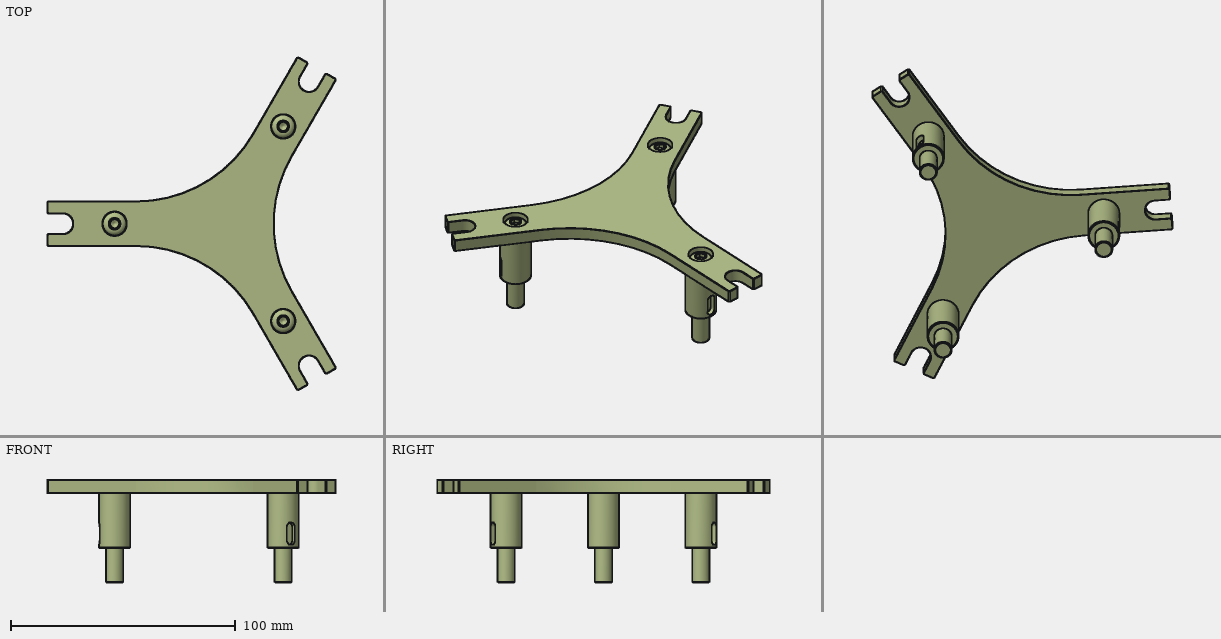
import cadquery as cq
import math

ARM_COUNT = 3
ARM_ANGLES = [180 + index * 360 / ARM_COUNT for index in range(ARM_COUNT)]
ARM_REACH = 80.0
ARM_HALF_WIDTH = 10.0
PLATE_THICKNESS = 6.0
TIP_CHAMFER = 0.5
RIM_CHAMFER = 0.2
WEB_RADIUS = 60.0

FORK_WIDTH = 9.0
FORK_STRAIGHT = 7.0

BOLT_CIRCLE_RADIUS = 50.0
SCREW_DIAMETER = 6.0
COUNTERBORE_DIAMETER = 11.0
COUNTERBORE_DEPTH = 4.0

HEAD_DIAMETER = 10.5
HEAD_HEIGHT = 3.0
HEAD_RIM_HEIGHT = 0.7
SOCKET_ACROSS_FLATS = 4.0
SOCKET_ACROSS_CORNERS = SOCKET_ACROSS_FLATS / math.cos(math.pi / 6)
SOCKET_DEPTH = 2.0
SOCKET_MOUTH_DIAMETER = 5.3
SOCKET_MOUTH_DEPTH = 0.8
SOCKET_CONE_DEPTH = 1.2
SCREW_LENGTH = 16.0

SLEEVE_DIAMETER = 14.0
SLEEVE_LENGTH = 24.5
SLEEVE_CHAMFER = 0.5
PIN_DIAMETER = 7.8
PIN_LENGTH = 15.3
PIN_CHAMFER = 0.5

SIDE_SLOT_WIDTH = 4.0
SIDE_SLOT_LENGTH = 10.0
SIDE_SLOT_DEPTH = 2.5
SIDE_SLOT_BOTTOM_GAP = 1.5

COUNTERBORE_FLOOR_Z = PLATE_THICKNESS - COUNTERBORE_DEPTH
SCREW_TIP_Z = COUNTERBORE_FLOOR_Z - SCREW_LENGTH


def on_arms(shape):
    """Copies of a shape modelled about the Z axis, outward side +X, one at each bolt position."""
    placed = shape.translate((BOLT_CIRCLE_RADIUS, 0, 0))
    return [placed.rotate((0, 0, 0), (0, 0, 1), angle) for angle in ARM_ANGLES]


def make_plate():
    half_gap = math.radians(180 / ARM_COUNT)
    web_center = (WEB_RADIUS + ARM_HALF_WIDTH) / math.sin(half_gap)
    tangent_reach = web_center * math.cos(half_gap)
    web_middle = web_center - WEB_RADIUS

    def turned(along, across, angle):
        turn = math.radians(angle)
        return (
            along * math.cos(turn) - across * math.sin(turn),
            along * math.sin(turn) + across * math.cos(turn),
        )

    chamfer_start = ARM_REACH - TIP_CHAMFER
    tip_half_width = ARM_HALF_WIDTH - TIP_CHAMFER
    outline = cq.Workplane("XY").moveTo(*turned(tangent_reach, -ARM_HALF_WIDTH, ARM_ANGLES[0]))
    for angle in ARM_ANGLES:
        next_angle = angle + 360 / ARM_COUNT
        outline = (
            outline.lineTo(*turned(chamfer_start, -ARM_HALF_WIDTH, angle))
            .lineTo(*turned(ARM_REACH, -tip_half_width, angle))
            .lineTo(*turned(ARM_REACH, tip_half_width, angle))
            .lineTo(*turned(chamfer_start, ARM_HALF_WIDTH, angle))
            .lineTo(*turned(tangent_reach, ARM_HALF_WIDTH, angle))
            .threePointArc(
                turned(web_middle, 0, (angle + next_angle) / 2),
                turned(tangent_reach, -ARM_HALF_WIDTH, next_angle),
            )
        )
    plate = outline.close().extrude(PLATE_THICKNESS)

    fork_end = ARM_REACH - FORK_STRAIGHT - BOLT_CIRCLE_RADIUS
    fork = (
        cq.Workplane("XY")
        .moveTo(fork_end + ARM_REACH, FORK_WIDTH / 2)
        .lineTo(fork_end, FORK_WIDTH / 2)
        .threePointArc((fork_end - FORK_WIDTH / 2, 0), (fork_end, -FORK_WIDTH / 2))
        .lineTo(fork_end + ARM_REACH, -FORK_WIDTH / 2)
        .close()
        .extrude(PLATE_THICKNESS)
    )
    bolt_hole = cq.Workplane("XY").circle(SCREW_DIAMETER / 2).extrude(PLATE_THICKNESS)
    counterbore = (
        cq.Workplane("XY", origin=(0, 0, COUNTERBORE_FLOOR_Z))
        .circle(COUNTERBORE_DIAMETER / 2)
        .extrude(COUNTERBORE_DEPTH)
    )
    tip_local_x = ARM_REACH - BOLT_CIRCLE_RADIUS
    mouth_corners = (
        cq.Workplane("XY")
        .moveTo(tip_local_x, FORK_WIDTH / 2 + TIP_CHAMFER)
        .lineTo(tip_local_x - TIP_CHAMFER, FORK_WIDTH / 2)
        .lineTo(tip_local_x - TIP_CHAMFER, -FORK_WIDTH / 2)
        .lineTo(tip_local_x, -FORK_WIDTH / 2 - TIP_CHAMFER)
        .close()
        .extrude(PLATE_THICKNESS)
    )
    for cutter in on_arms(fork.union(mouth_corners)):
        plate = plate.cut(cutter)
    plate = plate.faces("<Z or >Z").chamfer(RIM_CHAMFER)
    for cutter in on_arms(bolt_hole.union(counterbore)):
        plate = plate.cut(cutter)
    return plate


def make_standoff():
    sleeve = (
        cq.Workplane("XY")
        .circle(SLEEVE_DIAMETER / 2)
        .extrude(-SLEEVE_LENGTH)
        .faces("<Z")
        .chamfer(SLEEVE_CHAMFER)
    )
    pin = (
        cq.Workplane("XY", origin=(0, 0, -SLEEVE_LENGTH))
        .circle(PIN_DIAMETER / 2)
        .extrude(-PIN_LENGTH)
        .faces("<Z")
        .chamfer(PIN_CHAMFER)
    )
    screw_hole = cq.Workplane("XY").circle(SCREW_DIAMETER / 2).extrude(SCREW_TIP_Z)
    slot_middle_z = -SLEEVE_LENGTH + SIDE_SLOT_BOTTOM_GAP + SIDE_SLOT_LENGTH / 2
    side_slot = (
        cq.Workplane("YZ", origin=(SLEEVE_DIAMETER / 2 - SIDE_SLOT_DEPTH, 0, slot_middle_z))
        .slot2D(SIDE_SLOT_LENGTH, SIDE_SLOT_WIDTH, 90)
        .extrude(SIDE_SLOT_DEPTH)
    )
    return sleeve.union(pin).cut(screw_hole).cut(side_slot)


def make_screw():
    rim_radius = HEAD_DIAMETER / 2
    mouth_radius = SOCKET_MOUTH_DIAMETER / 2
    rim_z = COUNTERBORE_FLOOR_Z + HEAD_RIM_HEIGHT
    head_top_z = COUNTERBORE_FLOOR_Z + HEAD_HEIGHT
    body = (
        cq.Workplane("XZ")
        .moveTo(0, SCREW_TIP_Z)
        .lineTo(0, head_top_z)
        .lineTo(mouth_radius, head_top_z)
        .tangentArcPoint((rim_radius, rim_z), relative=False)
        .lineTo(rim_radius, COUNTERBORE_FLOOR_Z)
        .lineTo(SCREW_DIAMETER / 2, COUNTERBORE_FLOOR_Z)
        .lineTo(SCREW_DIAMETER / 2, SCREW_TIP_Z)
        .close()
        .revolve(360, (0, 0, 0), (0, 1, 0))
    )

    socket_floor_z = head_top_z - SOCKET_DEPTH
    hexagon = (
        cq.Workplane("XY", origin=(0, 0, socket_floor_z))
        .polygon(6, SOCKET_ACROSS_CORNERS)
        .extrude(SOCKET_DEPTH)
        .rotate((0, 0, 0), (0, 0, 1), 90)
    )
    mouth = cq.Workplane(
        cq.Solid.makeCone(0, mouth_radius, SOCKET_MOUTH_DEPTH, pnt=(0, 0, head_top_z - SOCKET_MOUTH_DEPTH))
    )
    drill_point = cq.Workplane(
        cq.Solid.makeCone(
            0,
            SOCKET_ACROSS_FLATS / 2,
            SOCKET_CONE_DEPTH,
            pnt=(0, 0, socket_floor_z - SOCKET_CONE_DEPTH),
        )
    )
    return body.cut(hexagon).cut(mouth).cut(drill_point)


plate = make_plate()
standoffs = on_arms(make_standoff())
screws = on_arms(make_screw())

result = cq.Compound.makeCompound(
    [
        plate.val(),
        *[standoff.val() for standoff in standoffs],
        *[screw.val() for screw in screws],
    ]
)